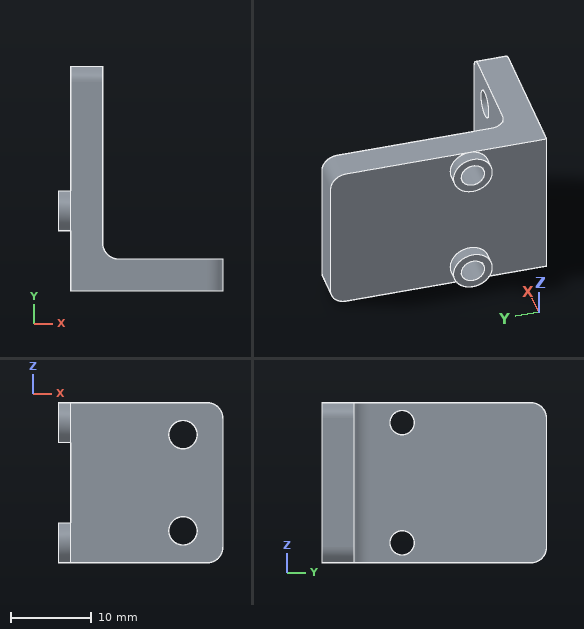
import cadquery as cq

overall_x = 20.5
depth = 28.0
height = 20.0

thickness = 4.0
corner_radius = 2.0
inner_radius = 2.0

boss_height = 1.5
boss_diameter = 5.0
boss_bore = 3.0
boss_y = 10.0
boss_z_positions = (boss_diameter / 2, height - boss_diameter / 2)

mount_diameter = 3.5
mount_x = 14.0
mount_edge_distance = 4.0
mount_z_positions = (mount_edge_distance, height - mount_edge_distance)

short_length = overall_x - boss_height


def rod_along_x(diameter, z, length):
    """Cylinder running from the boss tip toward +X."""
    return (
        cq.Workplane("YZ", origin=(-boss_height, boss_y, z))
        .circle(diameter / 2)
        .extrude(length)
    )


def rod_along_y(diameter, x, z, length):
    """Cylinder running from the front face toward +Y."""
    return (
        cq.Workplane("XZ", origin=(x, 0, z))
        .circle(diameter / 2)
        .extrude(-length)
    )


long_plate = (
    cq.Workplane("XY")
    .box(thickness, depth, height, centered=False)
    .edges("|X and >Y")
    .fillet(corner_radius)
)
short_plate = (
    cq.Workplane("XY")
    .box(short_length, thickness, height, centered=False)
    .edges("|Y and >X")
    .fillet(corner_radius)
)
bracket = long_plate.union(short_plate)

inner_corner = cq.selectors.NearestToPointSelector((thickness, thickness, height / 2))
bracket = bracket.edges(inner_corner).fillet(inner_radius)

for z in boss_z_positions:
    bracket = bracket.union(rod_along_x(boss_diameter, z, boss_height))
    bracket = bracket.cut(rod_along_x(boss_bore, z, boss_height + thickness))

for z in mount_z_positions:
    bracket = bracket.cut(rod_along_y(mount_diameter, mount_x, z, thickness))

result = bracket